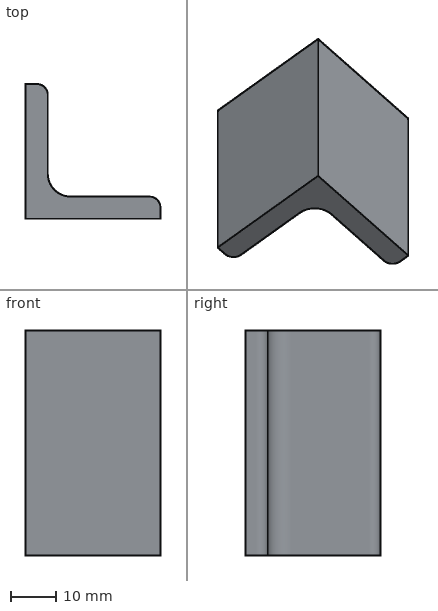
import cadquery as cq

leg_length = 30.0
leg_thickness = 5.0
bar_length = 50.0
root_radius = 5.0
toe_radius = 2.5

angle_bar = (
    cq.Workplane("XY")
    .moveTo(0, 0)
    .lineTo(leg_length, 0)
    .lineTo(leg_length, leg_thickness)
    .lineTo(leg_thickness, leg_thickness)
    .lineTo(leg_thickness, leg_length)
    .lineTo(0, leg_length)
    .close()
    .extrude(bar_length)
)


def round_upright_edge(body, x, y, radius):
    """Round the vertical edge nearest to the point (x, y)."""
    edge = cq.selectors.NearestToPointSelector((x, y, bar_length / 2))
    return body.edges("|Z").edges(edge).fillet(radius)


angle_bar = round_upright_edge(angle_bar, leg_thickness, leg_thickness, root_radius)
for toe_x, toe_y in [(leg_length, leg_thickness), (leg_thickness, leg_length)]:
    angle_bar = round_upright_edge(angle_bar, toe_x, toe_y, toe_radius)

result = angle_bar